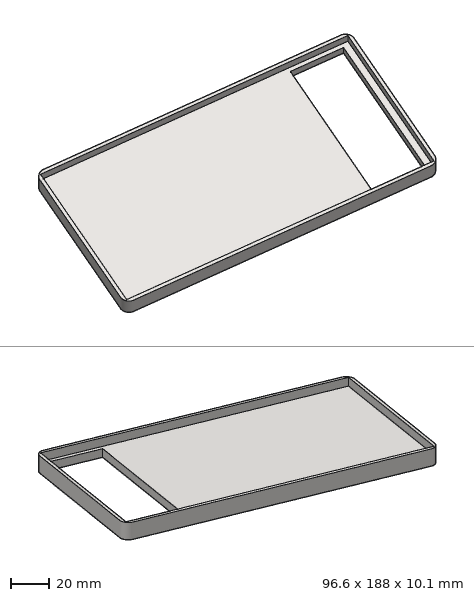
import cadquery as cq

length = 188.0
width = 96.6
height = 10.1
corner_radius = 5.0

wall = 2.0
floor_thickness = 5.0

window_width = 87.5
window_length = 31.8
window_end_margin = 6.0
window_center_y = length / 2 - window_end_margin - window_length / 2


def make_body():
    """Solid block with rounded vertical corners, standing on Z = 0."""
    block = cq.Workplane("XY").box(width, length, height, centered=(True, True, False))
    return block.edges("|Z").fillet(corner_radius)


def make_cavity():
    """Square-cornered recess above the floor."""
    return (
        cq.Workplane("XY", origin=(0, 0, floor_thickness))
        .rect(width - 2 * wall, length - 2 * wall)
        .extrude(height - floor_thickness)
    )


def make_window():
    """Opening that passes through the floor."""
    return (
        cq.Workplane("XY", origin=(0, window_center_y, 0))
        .rect(window_width, window_length)
        .extrude(floor_thickness)
    )


result = make_body().cut(make_cavity()).cut(make_window())